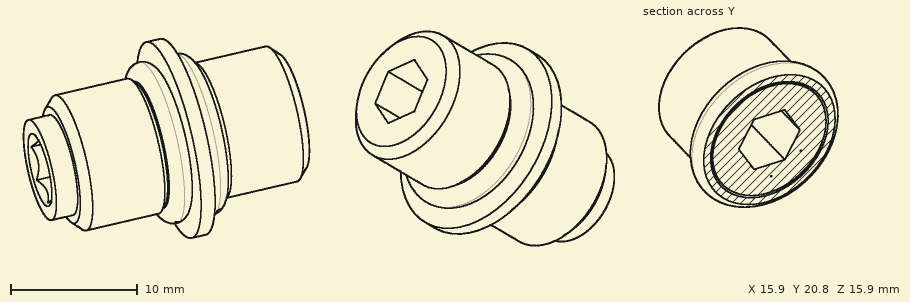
import cadquery as cq
import math

total_length = 20.83
nose_length = 1.77
flange_start = 10.73
flange_thickness = 1.17
flange_end = flange_start + flange_thickness

nose_radius = 4.06
body_radius = 5.48
neck_radius = 5.12
flange_radius = 7.94

end_chamfer = 0.77
neck_chamfer = body_radius - neck_radius

ring_section_radius = 0.92
ring_outer_radius = 6.52
ring_center_radius = ring_outer_radius - ring_section_radius
neck_length = 2 * ring_section_radius

hex_across_flats = 4.75
hex_across_corners = hex_across_flats / math.cos(math.pi / 6)
lead_in_radius = 2.94
lead_in_angle = 45.0


def cylinder(radius, start, end):
    """Cylinder about the Y axis between two axial stations."""
    return cq.Workplane("XZ", origin=(0, start, 0)).circle(radius).extrude(start - end)


def barrel_body(start, end, outer_face, neck_face):
    """Cylindrical barrel with a large chamfer outside and a small one at the neck."""
    barrel = cylinder(body_radius, start, end)
    barrel = barrel.faces(outer_face).chamfer(end_chamfer)
    return barrel.faces(neck_face).chamfer(neck_chamfer)


def o_ring(center_y):
    ring = cq.Solid.makeTorus(
        ring_center_radius, ring_section_radius, cq.Vector(0, center_y, 0), cq.Vector(0, 1, 0)
    )
    return cq.Workplane(obj=ring)


def hex_socket():
    socket = (
        cq.Workplane("XZ")
        .polygon(6, hex_across_corners)
        .extrude(-total_length)
    )
    cone_depth = lead_in_radius * math.tan(math.radians(lead_in_angle))
    lead_in = cq.Solid.makeCone(
        lead_in_radius, 0, cone_depth, cq.Vector(0, 0, 0), cq.Vector(0, 1, 0)
    )
    return socket.union(cq.Workplane(obj=lead_in))


front_body = barrel_body(nose_length, flange_start - neck_length, "<Y", ">Y")
rear_body = barrel_body(flange_end + neck_length, total_length, ">Y", "<Y")

result = (
    cylinder(neck_radius, flange_start - neck_length, flange_end + neck_length)
    .union(cylinder(nose_radius, 0, nose_length))
    .union(front_body)
    .union(rear_body)
    .union(cylinder(flange_radius, flange_start, flange_end))
    .union(o_ring(flange_start - ring_section_radius))
    .union(o_ring(flange_end + ring_section_radius))
    .cut(hex_socket())
)